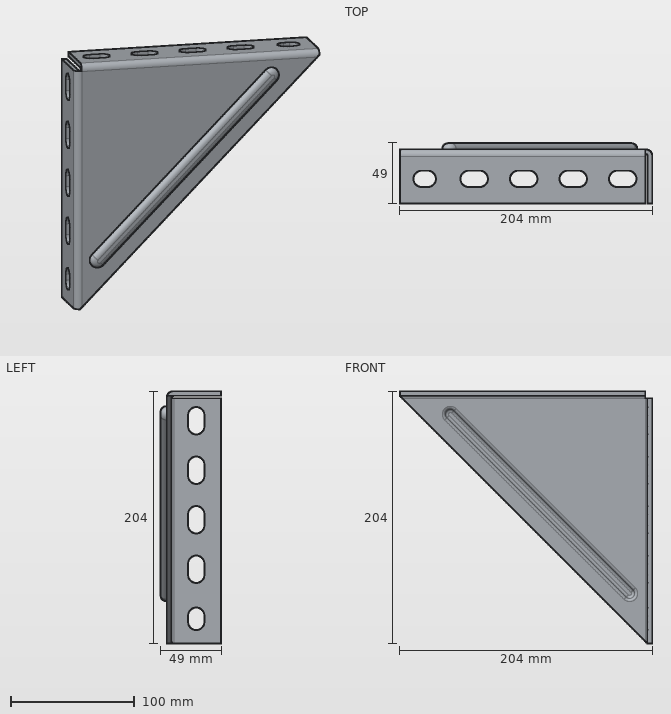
import cadquery as cq
import math

leg = 204.0
flange_depth = 44.0
sheet = 4.0
inner_bend = 1.7
outer_bend = inner_bend + sheet
web_end = leg - outer_bend
web_front = flange_depth - sheet
diagonal = leg - sheet

slot_width = 13.0
slot_length = 22.0
end_slot_length = 18.0
slot_count = 5
slot_pitch = 40.0
first_slot = 20.0
slot_edge_distance = 20.0

rib_flat = 1.5
groove_radius = 2.5
rib_height = 2 * groove_radius
rib_half_width = rib_flat + 2 * groove_radius
rib_near = 40.6
rib_far = 185.4
rib_length = math.sqrt(2) * (rib_far - rib_near)
rib_angle = 45.0

arc_middle = math.sqrt(0.5)


def make_web():
    web = cq.Workplane("XY").box(web_end, sheet, web_end, centered=False)
    return web.translate((0, web_front, 0))


def make_right_flange():
    """Right-hand flange with its bend, extruded along Z."""
    bend_centre = flange_depth - outer_bend
    outer_bulge = outer_bend * arc_middle
    inner_bulge = inner_bend * arc_middle
    return (
        cq.Workplane("XY")
        .moveTo(web_end, flange_depth)
        .threePointArc((web_end + outer_bulge, bend_centre + outer_bulge), (leg, bend_centre))
        .lineTo(leg, 0)
        .lineTo(leg - sheet, 0)
        .lineTo(leg - sheet, bend_centre)
        .threePointArc((web_end + inner_bulge, bend_centre + inner_bulge), (web_end, web_front))
        .close()
        .extrude(web_end)
    )


def make_slots():
    """Slot cutters for the right-hand flange."""
    cutters = cq.Workplane("YZ", origin=(leg - 2 * sheet, 0, 0))
    for index in range(slot_count):
        length = end_slot_length if index == 0 else slot_length
        height = first_slot + index * slot_pitch
        cutters = cutters.moveTo(slot_edge_distance, height).slot2D(length, slot_width, 90)
    return cutters.extrude(3 * sheet)


def make_tip_cutter():
    """Everything on the outer side of the sloping edge."""
    return (
        cq.Workplane("XZ")
        .polyline([(0, 0), (diagonal, 0), (0, diagonal)])
        .close()
        .extrude(-2 * flange_depth)
    )


def rib_profile():
    """Half section of the rib behind the web, rooted halfway into the sheet."""
    root = flange_depth - sheet / 2
    crest = flange_depth + rib_height
    bulge = rib_height * arc_middle
    return (
        cq.Workplane("XY")
        .moveTo(0, root)
        .lineTo(rib_half_width, root)
        .lineTo(rib_half_width, flange_depth)
        .threePointArc((rib_flat + bulge, flange_depth + bulge), (rib_flat, crest))
        .lineTo(0, crest)
        .close()
    )


def groove_profile():
    """Half section of the groove: rounded rim running into a rounded floor corner."""
    wall = rib_flat + groove_radius
    mid_depth = web_front + groove_radius
    floor = web_front + rib_height
    bulge = groove_radius * arc_middle
    return (
        cq.Workplane("XY")
        .moveTo(0, web_front)
        .lineTo(rib_half_width, web_front)
        .threePointArc((rib_half_width - bulge, mid_depth - bulge), (wall, mid_depth))
        .threePointArc((rib_flat + bulge, mid_depth + bulge), (rib_flat, floor))
        .lineTo(0, floor)
        .close()
    )


def make_track(make_profile):
    """Round-ended run along the rib, from a half section (distance from its centre line, Y)."""
    round_end = make_profile().revolve(360, (0, 0, 0), (0, 1, 0))
    half_run = make_profile().extrude(rib_length)
    run = half_run.union(half_run.mirror("YZ"))
    track = run.union(round_end).union(round_end.translate((0, 0, rib_length)))
    return track.rotate((0, 0, 0), (0, 1, 0), -rib_angle).translate((rib_far, 0, rib_near))


right_flange = make_right_flange().cut(make_slots())
top_flange = right_flange.mirror(cq.Vector(1, 0, -1))

bracket = make_web().union(right_flange).union(top_flange).cut(make_tip_cutter())
result = bracket.union(make_track(rib_profile)).cut(make_track(groove_profile))